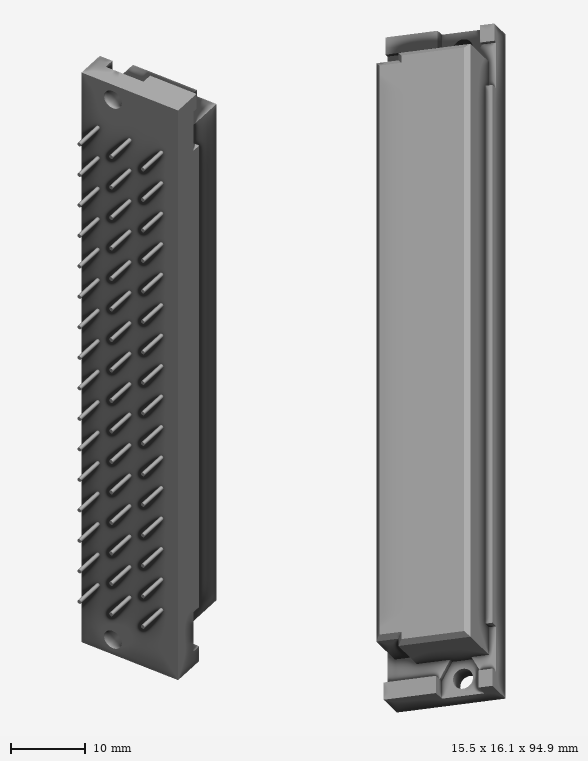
import cadquery as cq
import math

length = 94.9
width = 15.5
depth = 16.1

floor_height = 3.7
rail_height = 5.1
rail_end_inset = 9.0
lip_length = 2.5
top_lip_height = 4.5
bottom_lip_height = rail_height

pin_length = 4.6
plug_height = depth - pin_length
plug_width = 13.4
plug_chamfer = 0.7

hole_diameter = 2.8
hole_edge_distance = 5.0
hole_x = hole_edge_distance - width / 2
hole_z = length / 2 - lip_length
nut_floor_height = 2.8
nut_flats = 5.2
nut_corners = nut_flats / math.cos(math.pi / 6)

plug_end_inset = lip_length + nut_flats / 2
key_width = 3.1
key_length = 1.0

pin_diameter = 0.6
pin_columns = 3
pin_rows = 16
pin_span = 76.2
pin_pitch = pin_span / (pin_rows - 1)
pin_center_z = pin_pitch / 4


def block(x_size, y_start, y_end, z_start, z_end):
    """Box centred on X = 0 between the given Y and Z limits."""
    size = (x_size, y_end - y_start, z_end - z_start)
    return cq.Workplane("XY").box(*size, centered=(True, False, False)).translate((0, y_start, z_start))


def base_bar():
    """Bar with a long rail in the middle and a raised lip at each end."""
    half = length / 2
    rail_end = half - rail_end_inset
    bar = block(width, 0, floor_height, -half, half)
    bar = bar.union(block(width, 0, rail_height, -rail_end, rail_end))
    bar = bar.union(block(width, 0, top_lip_height, half - lip_length, half))
    return bar.union(block(width, 0, bottom_lip_height, -half, lip_length - half))


def plug():
    """Chamfered block with a keying notch in the +X corner of each end."""
    half = length / 2 - plug_end_inset
    body = block(plug_width, 0, plug_height, -half, half)
    for side in (1, -1):
        notch = cq.Workplane("XY").box(2 * key_width, 2 * (plug_height - floor_height), 2 * key_length)
        body = body.cut(notch.translate((plug_width / 2, plug_height, side * half)))
    return body.faces(">Y").chamfer(plug_chamfer)


def mounting_cut(side):
    """Through hole and nut pocket at the top (side = 1) or bottom (side = -1) end."""
    at_nut_floor = cq.Workplane("XZ", origin=(hole_x, nut_floor_height, side * hole_z))
    pocket_height = rail_height - nut_floor_height
    nut = at_nut_floor.polygon(6, nut_corners).extrude(-pocket_height)
    slot = at_nut_floor.center(0, side * lip_length / 2).rect(nut_corners, lip_length).extrude(-pocket_height)
    hole = at_nut_floor.circle(hole_diameter / 2).extrude(nut_floor_height)
    return nut.union(slot).union(hole)


def pins():
    """Grid of round pins standing out of the front of the base."""
    return (
        cq.Workplane("XZ", origin=(0, 0, pin_center_z))
        .rarray(pin_pitch, pin_pitch, pin_columns, pin_rows)
        .circle(pin_diameter / 2)
        .extrude(pin_length)
    )


base = base_bar()
for end in (1, -1):
    base = base.cut(mounting_cut(end))

result = base.union(plug()).union(pins())